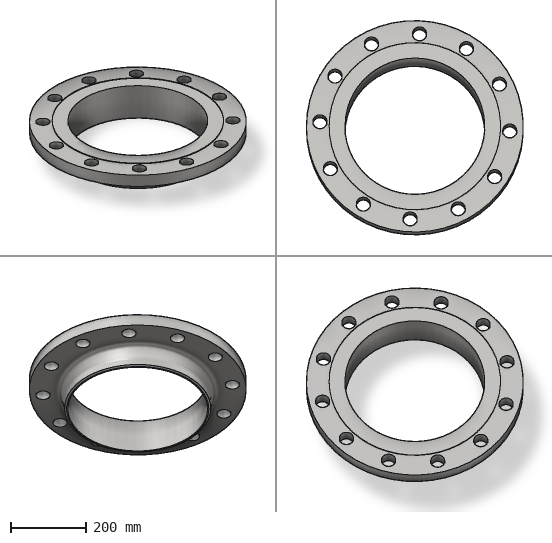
import cadquery as cq
import math

flange_radius = 288.5
flange_thickness = 34.5
total_height = 100.0
bore_radius = 185.5

face_radius = 228.0
face_height = 2.0

neck_radius = 194.5
neck_height = 22.0
taper_angle = 17.0
blend_radius = 18.0

bevel_height = 3.0
bevel_width = 5.0

bolt_count = 12
bolt_diameter = 37.5
bolt_circle_radius = 252.5

margin = 0.5

flange_top = total_height - face_height
flange_bottom = flange_top - flange_thickness
taper_rise = flange_bottom - neck_height
hub_radius = neck_radius + taper_rise * math.tan(math.radians(taper_angle))


def make_hub():
    """Revolve the bevelled neck, taper, plate and raised face around Z, then blend the taper ends."""
    body = (
        cq.Workplane("XZ")
        .moveTo(bore_radius, 0)
        .lineTo(neck_radius - bevel_width, 0)
        .lineTo(neck_radius, bevel_height)
        .lineTo(neck_radius, neck_height)
        .lineTo(hub_radius, flange_bottom)
        .lineTo(flange_radius, flange_bottom)
        .lineTo(flange_radius, flange_top)
        .lineTo(face_radius, flange_top)
        .lineTo(face_radius, total_height)
        .lineTo(bore_radius, total_height)
        .close()
        .revolve(360, (0, 0, 0), (0, 1, 0))
    )
    for radius, height in ((neck_radius, neck_height), (hub_radius, flange_bottom)):
        corner_box = cq.selectors.BoxSelector(
            (-radius - margin, -radius - margin, height - margin),
            (radius + margin, radius + margin, height + margin),
            boundingbox=True,
        )
        body = body.edges(corner_box).fillet(blend_radius)
    return body


def make_bolt_holes():
    """Cylinders through the plate on the bolt circle."""
    half_pitch = 180 / bolt_count
    return (
        cq.Workplane("XY")
        .workplane(offset=flange_bottom)
        .polarArray(bolt_circle_radius, half_pitch, 360, bolt_count)
        .circle(bolt_diameter / 2)
        .extrude(total_height - flange_bottom)
    )


result = make_hub().cut(make_bolt_holes())